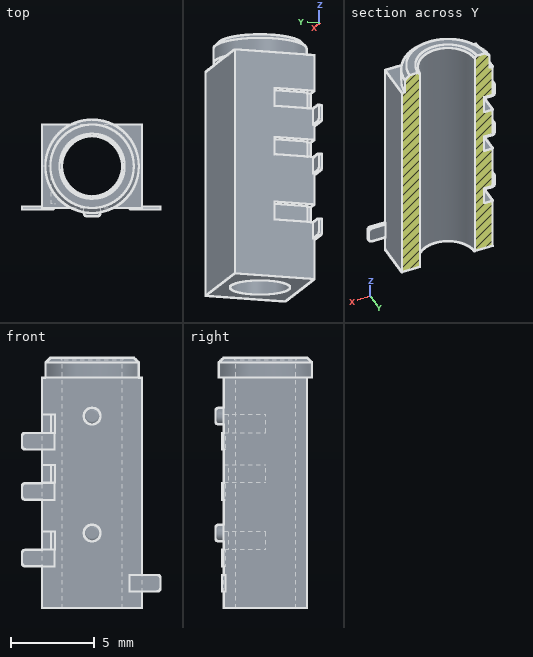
import cadquery as cq

BODY_WIDTH = 6.0
BODY_DEPTH = 5.0
TOTAL_HEIGHT = 15.0
COLLAR_HEIGHT = 1.2
BODY_HEIGHT = TOTAL_HEIGHT - COLLAR_HEIGHT
COLLAR_DIAMETER = 5.6
COLLAR_CHAMFER = 0.3
BORE_DIAMETER = 3.6
BORE_CHAMFER = 0.15
SIDE_X = BODY_WIDTH / 2
FRONT_Y = -BODY_DEPTH / 2

PEG_DIAMETER = 1.0
PEG_LENGTH = 0.5
PEG_ROUND = 0.2
PEG_HEIGHTS = (4.5, 11.5)

TERMINAL_WIDTH = 1.0
TERMINAL_THICKNESS = 0.2
TERMINAL_STANDOFF = 0.1
TERMINAL_FACE_Y = FRONT_Y - TERMINAL_STANDOFF
TERMINAL_CORNER = 0.2
LEFT_TERMINAL_HEIGHTS = (2.5, 6.49, 9.5)
LEFT_TERMINAL_REACH = 4.2
LEFT_BEND_X = 2.23
RIGHT_TERMINAL_HEIGHT = 1.0
RIGHT_TERMINAL_REACH = 4.1
RIGHT_BEND_X = 2.2

SLOT_HEIGHTS = ((3.5, 4.6), (7.52, 8.58), (10.5, 11.6))
SLOT_BACK_Y = 0.0
SLOT_FLOOR_X = -2.45
SLOT_LIP_DEPTH = 0.28


def box(x_range, y_range, z_range):
    """Axis-aligned box between pairs of limits."""
    size = [high - low for low, high in (x_range, y_range, z_range)]
    corner = (x_range[0], y_range[0], z_range[0])
    return cq.Workplane("XY").box(*size, centered=False).translate(corner)


def housing():
    """Rectangular body with a chamfered round collar on top."""
    body = cq.Workplane("XY").box(BODY_WIDTH, BODY_DEPTH, BODY_HEIGHT, centered=(True, True, False))
    collar = (
        cq.Workplane("XY")
        .workplane(offset=BODY_HEIGHT)
        .circle(COLLAR_DIAMETER / 2)
        .extrude(COLLAR_HEIGHT)
        .faces(">Z")
        .edges()
        .chamfer(COLLAR_CHAMFER)
    )
    return body.union(collar)


def bore():
    """Through bore with a countersunk mouth, as a cutting solid."""
    radius = BORE_DIAMETER / 2
    profile = (
        cq.Workplane("XZ")
        .lineTo(radius, 0)
        .lineTo(radius, TOTAL_HEIGHT - BORE_CHAMFER)
        .lineTo(radius + BORE_CHAMFER, TOTAL_HEIGHT)
        .lineTo(0, TOTAL_HEIGHT)
        .close()
    )
    return profile.revolve(360, (0, 0, 0), (0, 1, 0))


def slot(heights):
    """Side slot with a shallow wider lip at the front face, as a cutting solid."""
    channel = box((-SIDE_X, SLOT_FLOOR_X), (FRONT_Y, SLOT_BACK_Y), heights)
    lip = box((-SIDE_X, -LEFT_BEND_X), (FRONT_Y, FRONT_Y + SLOT_LIP_DEPTH), heights)
    return channel.union(lip)


def peg(height):
    """Round peg with a rounded tip, standing on the front face."""
    return (
        cq.Workplane("XZ", origin=(0, FRONT_Y, height))
        .circle(PEG_DIAMETER / 2)
        .extrude(PEG_LENGTH)
        .faces("<Y")
        .edges()
        .fillet(PEG_ROUND)
    )


def terminal(bottom, bend_x, reach):
    """Flat tab toward +X with a bent inner end sunk in the body and rounded free corners."""
    back_y = TERMINAL_FACE_Y + TERMINAL_THICKNESS
    bend_end_x = bend_x + TERMINAL_THICKNESS
    return (
        cq.Workplane("XY")
        .workplane(offset=bottom)
        .moveTo(bend_x, back_y)
        .radiusArc((bend_end_x, TERMINAL_FACE_Y), -TERMINAL_THICKNESS)
        .lineTo(reach, TERMINAL_FACE_Y)
        .lineTo(reach, back_y)
        .close()
        .extrude(TERMINAL_WIDTH)
        .faces(">X")
        .edges("|Y")
        .fillet(TERMINAL_CORNER)
    )


result = housing()
for slot_heights in SLOT_HEIGHTS:
    result = result.cut(slot(slot_heights))
for terminal_bottom in LEFT_TERMINAL_HEIGHTS:
    result = result.union(terminal(terminal_bottom, LEFT_BEND_X, LEFT_TERMINAL_REACH).mirror("YZ"))
result = result.union(terminal(RIGHT_TERMINAL_HEIGHT, RIGHT_BEND_X, RIGHT_TERMINAL_REACH))
for peg_height in PEG_HEIGHTS:
    result = result.union(peg(peg_height))
result = result.cut(bore())